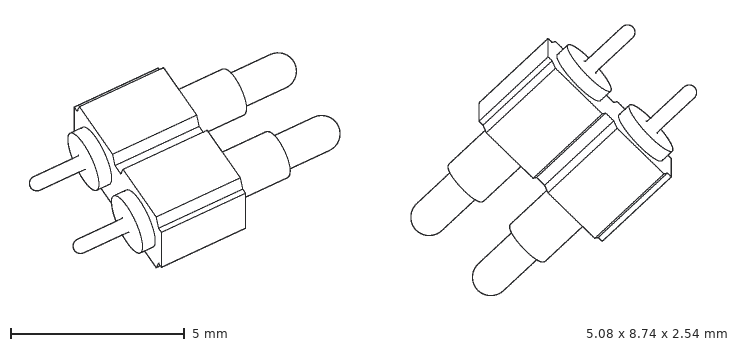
import cadquery as cq
import math

total_length = 8.74
pin_count = 2
housing_width = 5.08
pitch = housing_width / pin_count

housing_height = 2.54
housing_length = 2.79
notch_depth = 0.39
notch_half_floor = 0.17
notch_half_mouth = 0.31

tail_radius = 0.22
tail_length = 1.76
tail_root_fillet = 0.08
flange_radius = 0.91
flange_thickness = 0.42
barrel_radius = 0.73
barrel_projection = 1.82
barrel_rim_fillet = 0.08
plunger_radius = 0.53

flange_front = -flange_thickness
tail_tip = flange_front - tail_length
barrel_end = housing_length + barrel_projection
plunger_tip = tail_tip + total_length

pin_positions = [(i - (pin_count - 1) / 2) * pitch for i in range(pin_count)]


def make_notch(x, z_side):
    """Trapezoidal groove along Y, centred on x, in the top (+1) or bottom (-1) face."""
    face_z = z_side * housing_height / 2
    floor_z = face_z - z_side * notch_depth
    return (
        cq.Workplane("XZ")
        .moveTo(x - notch_half_mouth, face_z)
        .lineTo(x - notch_half_floor, floor_z)
        .lineTo(x + notch_half_floor, floor_z)
        .lineTo(x + notch_half_mouth, face_z)
        .close()
        .extrude(-housing_length)
    )


def make_housing():
    """Block with grooves at both ends and between pins, bored for the barrels."""
    block = cq.Workplane("XZ").rect(housing_width, housing_height).extrude(-housing_length)
    for i in range(pin_count + 1):
        notch_x = i * pitch - housing_width / 2
        for z_side in (1, -1):
            block = block.cut(make_notch(notch_x, z_side))
    bores = (
        cq.Workplane("XZ")
        .pushPoints([(x, 0) for x in pin_positions])
        .circle(barrel_radius)
        .extrude(-housing_length)
    )
    return block.cut(bores)


def make_pin(x):
    """Turned contact: round-ended tail, flange, barrel and domed plunger."""
    diagonal = math.sqrt(0.5)
    tail_dome_y = tail_tip + tail_radius
    plunger_dome_y = plunger_tip - plunger_radius
    root_radius = tail_radius + tail_root_fillet
    root_y = flange_front - tail_root_fillet
    rim_radius = barrel_radius - barrel_rim_fillet
    rim_y = barrel_end - barrel_rim_fillet
    half_profile = (
        cq.Workplane("XY")
        .moveTo(0, tail_tip)
        .threePointArc(
            (tail_radius * diagonal, tail_dome_y - tail_radius * diagonal),
            (tail_radius, tail_dome_y),
        )
        .lineTo(tail_radius, root_y)
        .threePointArc(
            (root_radius - tail_root_fillet * diagonal, root_y + tail_root_fillet * diagonal),
            (root_radius, flange_front),
        )
        .lineTo(flange_radius, flange_front)
        .lineTo(flange_radius, 0)
        .lineTo(barrel_radius, 0)
        .lineTo(barrel_radius, rim_y)
        .threePointArc(
            (rim_radius + barrel_rim_fillet * diagonal, rim_y + barrel_rim_fillet * diagonal),
            (rim_radius, barrel_end),
        )
        .lineTo(plunger_radius, barrel_end)
        .lineTo(plunger_radius, plunger_dome_y)
        .threePointArc(
            (plunger_radius * diagonal, plunger_dome_y + plunger_radius * diagonal),
            (0, plunger_tip),
        )
        .close()
    )
    return half_profile.revolve(360, (0, 0, 0), (0, 1, 0)).translate((x, 0, 0))


housing = make_housing()
pins = [make_pin(x).val() for x in pin_positions]

result = cq.Compound.makeCompound([housing.val(), *pins])